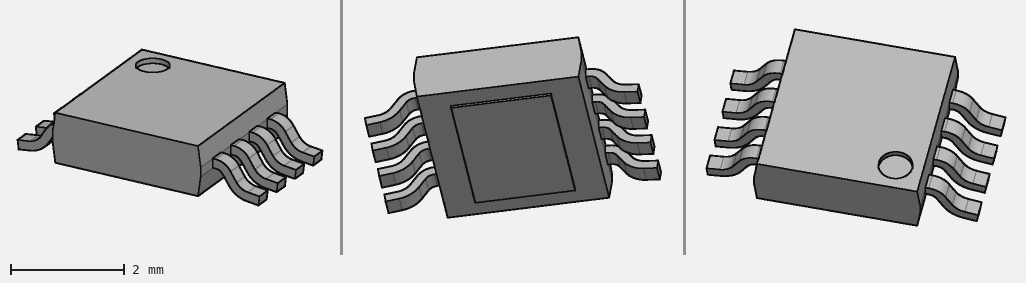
import cadquery as cq
import math

BODY_LENGTH = 3.1
BODY_HEIGHT = 0.97
BODY_WIDTH = 3.0
BODY_FACE_WIDTH = 2.89
BODY_TOP = BODY_HEIGHT / 2

MARK_DIAMETER = 0.605
MARK_DEPTH = 0.1
MARK_X = -0.945
MARK_Y = 1.055

PAD_WIDTH = 1.79
PAD_LENGTH = 2.43
PAD_THICKNESS = 0.05

LEADS_PER_SIDE = 4
LEAD_PITCH = 0.65
LEAD_WIDTH = 0.3
LEAD_THICKNESS = 0.18
LEAD_SPAN = 4.9
OVERALL_HEIGHT = 1.1
SLANT_ANGLE = 57.0
FOOT_ANGLE = 7.0
SHOULDER_RADIUS = 0.368
HEEL_RADIUS = 0.315
FOOT_LENGTH = 0.245


def make_body():
    """Block with side walls that taper away from an upright band as tall as a lead is thick."""
    wall_x = BODY_WIDTH / 2
    face_x = BODY_FACE_WIDTH / 2
    band_z = LEAD_THICKNESS / 2
    block = (
        cq.Workplane("XZ")
        .polyline([
            (face_x, BODY_TOP),
            (wall_x, band_z),
            (wall_x, -band_z),
            (face_x, -BODY_TOP),
            (-face_x, -BODY_TOP),
            (-wall_x, -band_z),
            (-wall_x, band_z),
            (-face_x, BODY_TOP),
        ])
        .close()
        .extrude(BODY_LENGTH / 2, both=True)
    )
    mark = (
        cq.Workplane("XY", origin=(MARK_X, MARK_Y, BODY_TOP - MARK_DEPTH))
        .circle(MARK_DIAMETER / 2)
        .extrude(MARK_DEPTH)
    )
    return block.cut(mark)


def make_pad():
    """Flat plate lying against the bottom face of the body."""
    return (
        cq.Workplane("XY", origin=(0, 0, -BODY_TOP))
        .rect(PAD_WIDTH, PAD_LENGTH)
        .extrude(-PAD_THICKNESS)
    )


def on_circle(center, radius, degrees):
    """Point on a circle, with the angle measured clockwise from straight up."""
    angle = math.radians(degrees)
    return (center[0] + radius * math.sin(angle), center[1] + radius * math.cos(angle))


def make_lead(y):
    """Lead on the +X side, centred at y, from the body wall down to its tip."""
    slant = math.radians(SLANT_ANGLE)
    foot = math.radians(FOOT_ANGLE)
    mid_angle = (SLANT_ANGLE + FOOT_ANGLE) / 2
    shoulder_inner = SHOULDER_RADIUS - LEAD_THICKNESS
    heel_outer = HEEL_RADIUS + LEAD_THICKNESS
    top_z = LEAD_THICKNESS / 2
    wall_x = BODY_WIDTH / 2

    tip_top = (
        LEAD_SPAN / 2,
        BODY_TOP - OVERALL_HEIGHT + LEAD_THICKNESS * math.cos(foot),
    )
    heel_center = (
        tip_top[0] - FOOT_LENGTH * math.cos(foot) + HEEL_RADIUS * math.sin(foot),
        tip_top[1] + FOOT_LENGTH * math.sin(foot) + HEEL_RADIUS * math.cos(foot),
    )

    shoulder_z = top_z - SHOULDER_RADIUS
    radius_sum = SHOULDER_RADIUS + HEEL_RADIUS
    leg_drop = shoulder_z - heel_center[1] + radius_sum * math.cos(slant)
    shoulder_x = heel_center[0] - radius_sum * math.sin(slant) - leg_drop / math.tan(slant)
    shoulder_center = (shoulder_x, shoulder_z)

    profile = (
        cq.Workplane("XZ", origin=(0, y, 0))
        .moveTo(wall_x, top_z)
        .lineTo(shoulder_x, top_z)
        .threePointArc(
            on_circle(shoulder_center, SHOULDER_RADIUS, SLANT_ANGLE / 2),
            on_circle(shoulder_center, SHOULDER_RADIUS, SLANT_ANGLE),
        )
        .lineTo(*on_circle(heel_center, -HEEL_RADIUS, SLANT_ANGLE))
        .threePointArc(
            on_circle(heel_center, -HEEL_RADIUS, mid_angle),
            on_circle(heel_center, -HEEL_RADIUS, FOOT_ANGLE),
        )
        .lineTo(*tip_top)
        .lineTo(*on_circle(tip_top, -LEAD_THICKNESS, FOOT_ANGLE))
        .lineTo(*on_circle(heel_center, -heel_outer, FOOT_ANGLE))
        .threePointArc(
            on_circle(heel_center, -heel_outer, mid_angle),
            on_circle(heel_center, -heel_outer, SLANT_ANGLE),
        )
        .lineTo(*on_circle(shoulder_center, shoulder_inner, SLANT_ANGLE))
        .threePointArc(
            on_circle(shoulder_center, shoulder_inner, SLANT_ANGLE / 2),
            on_circle(shoulder_center, shoulder_inner, 0),
        )
        .lineTo(wall_x, -top_z)
        .close()
    )
    return profile.extrude(LEAD_WIDTH / 2, both=True)


body = make_body()
pad = make_pad()

leads = []
for index in range(LEADS_PER_SIDE):
    lead_y = (index - (LEADS_PER_SIDE - 1) / 2) * LEAD_PITCH
    right_lead = make_lead(lead_y)
    leads.append(right_lead.val())
    leads.append(right_lead.mirror("YZ").val())

result = cq.Compound.makeCompound([body.val(), pad.val(), *leads])